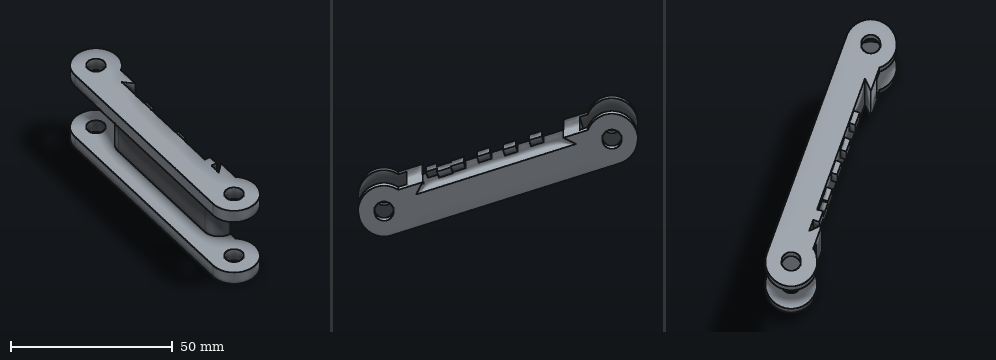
import cadquery as cq

length = 90.0
boss_diameter = 16.0
height = 30.0
plate_thickness = 4.7
pin_hole_diameter = 6.0
boss_radius = boss_diameter / 2
pin_x = length / 2 - boss_radius
half_height = height / 2
back_y = 5.0

slot_floor_y = 2.0
slot_floor_width = 51.8
slot_mouth_width = slot_floor_width - 2 * (back_y - slot_floor_y)

web_left_x = -28.1
web_right_x = 28.0
web_front_y = -1.0
left_round_width = 4.3
left_round_depth = 1.9
right_round_radius = 5.4

cross_hole_diameter = 3.0
cross_hole_y = 2.9
cross_hole_depth = 4.5

pad_top_y = 4.0
pad_width = 4.1
pad_pitch = 8.5
first_pad_x = -15.5
high_pad_drop = 1.5
low_pad_drop = 3.6
bridge_drop = 5.4
pad_height = 9.0
bridge_width = 4.5
stop_width = 3.6


def make_plate(bottom_z):
    """Link plate with round bosses, a lowered back edge and two pin holes."""
    bar = (
        cq.Workplane("XY", origin=(0, 0, bottom_z))
        .moveTo(-pin_x, -boss_radius)
        .lineTo(pin_x, -boss_radius)
        .lineTo(pin_x, back_y)
        .lineTo(-pin_x, back_y)
        .close()
        .extrude(plate_thickness)
    )
    pin_points = [(-pin_x, 0), (pin_x, 0)]
    bosses = (
        cq.Workplane("XY", origin=(0, 0, bottom_z))
        .pushPoints(pin_points)
        .circle(boss_radius)
        .extrude(plate_thickness)
    )
    holes = (
        cq.Workplane("XY", origin=(0, 0, bottom_z))
        .pushPoints(pin_points)
        .circle(pin_hole_diameter / 2)
        .extrude(plate_thickness)
    )
    return bar.union(bosses).cut(holes)


def make_web():
    """Web with a rounded front: a shallow arc at the left, a quarter round at the right."""
    left_radius = (left_round_width**2 + left_round_depth**2) / (2 * left_round_depth)
    left_flat_x = web_left_x + left_round_width
    left_arc_y = web_front_y + left_round_depth
    right_flat_x = web_right_x - right_round_radius
    right_arc_y = web_front_y + right_round_radius
    return (
        cq.Workplane("XY", origin=(0, 0, -half_height))
        .moveTo(web_left_x, back_y)
        .lineTo(web_left_x, left_arc_y)
        .radiusArc((left_flat_x, web_front_y), -left_radius)
        .lineTo(right_flat_x, web_front_y)
        .radiusArc((web_right_x, right_arc_y), -right_round_radius)
        .lineTo(web_right_x, back_y)
        .close()
        .extrude(height)
    )


def make_slot():
    """Dovetail cutter running the full height."""
    return (
        cq.Workplane("XY", origin=(0, 0, -half_height))
        .moveTo(-slot_floor_width / 2, slot_floor_y)
        .lineTo(slot_floor_width / 2, slot_floor_y)
        .lineTo(slot_mouth_width / 2, back_y)
        .lineTo(slot_mouth_width / 2, boss_radius)
        .lineTo(-slot_mouth_width / 2, boss_radius)
        .lineTo(-slot_mouth_width / 2, back_y)
        .close()
        .extrude(height)
    )


def make_pad(left_x, width, drop):
    """Raised pad whose upper end sits `drop` below the top of the part."""
    size_y = pad_top_y - web_front_y
    return cq.Workplane("XY").box(width, size_y, pad_height, centered=False).translate(
        (left_x, web_front_y, half_height - drop - pad_height)
    )


def make_cross_hole():
    """Cutter entering the right end of the web along X."""
    return (
        cq.Workplane("YZ", origin=(web_right_x - cross_hole_depth, cross_hole_y, 0))
        .circle(cross_hole_diameter / 2)
        .extrude(cross_hole_depth)
    )


body = make_plate(-half_height).union(make_plate(half_height - plate_thickness))
body = body.union(make_web()).cut(make_slot()).cut(make_cross_hole())

for index, drop in enumerate([high_pad_drop, low_pad_drop, high_pad_drop, low_pad_drop]):
    body = body.union(make_pad(first_pad_x + index * pad_pitch, pad_width, drop))

bridge_x = first_pad_x + 3 * pad_pitch + pad_width
stop_x = bridge_x + bridge_width
body = body.union(make_pad(bridge_x, bridge_width, bridge_drop))
body = body.union(make_pad(stop_x, stop_width, 0))

result = body